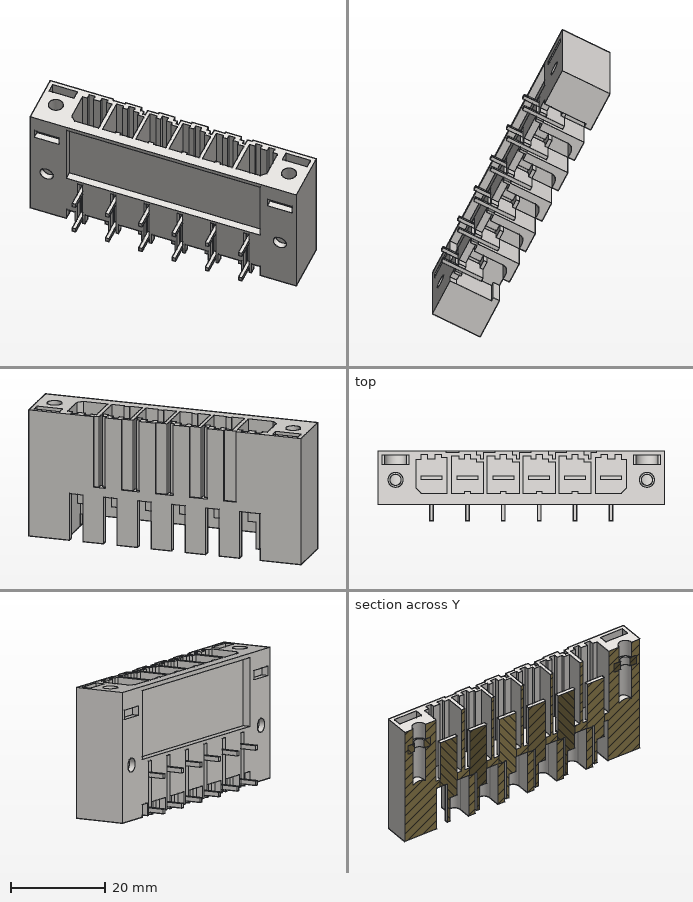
import cadquery as cq


length = 60.95
depth = 11.4
height = 28.3
front_wall = 1.6
back_wall = 1.5

pole_count = 6
pitch = 7.6
pole_x = [(i - (pole_count - 1) / 2) * pitch for i in range(pole_count)]
first_x = pole_x[0]
last_x = pole_x[-1]

pin_thickness = 0.8
blade_width = 4.45
blade_top = 21.95
blade_y = 5.3
leg_length = 3.5
leg_height = 1.0
lower_leg_z = 0.6
upper_leg_z = 8.2
web_top = upper_leg_z + leg_height
tab_bottom = 6.65

chamber_floor = 12.5
chamber_front_y = 2.4
inner_half_width = 3.4
outer_half_width = 3.3
corner_chamfer = 1.1
groove_y = depth - 0.75
land_y = depth - 1.7
inner_groove_half_width = 0.7
inner_left_y = depth - 1.1
inner_right_y = depth - 2.4
inner_right_step_x = 1.95
outer_corner_y = depth - 1.8
outer_inside_y = depth - 1.45
outer_groove_x = (0.85, 2.2)
outer_inside_groove_x = (-2.1, -0.75)
rib_width = 1.2
rib_height = 0.35

channel_depth = 0.35
channel_step_depth = 0.9
channel_start = 1.95
channel_step_x = 2.8
channel_corner_x = 3.4
channel_end_gap = 1.75
channel_overhang = 4.5

recess_side = 8.3
recess_top = 0.9
recess_depth = 1.7

cavity_top = 10.5
cavity_end = 3.1
cavity_left = 0.75
cavity_right = 5.1
window_half_width = 2.3
cavity_fillet = 1.5
slot_width = 1.2
slot_top = 11.7
notch_height = 2.75
notch_gap = 1.15

screw_x = length / 2 - 3.8
pocket_width = 5.65
pocket_height = 2.0
pocket_y = 8.5
nut_bottom = 22.3
nut_recess = 1.45
nut_length = pocket_width
boss_diameter = 4.65
boss_z = 12.0
board_hole_diameter = 3.0
board_hole_depth = 1.4
screw_y = 5.25
screw_diameter = 3.2
nut_hole_diameter = 2.4


def box(x0, x1, y0, y1, z0, z1):
    """Box between two limits on each axis."""
    return cq.Workplane("XY").box(x1 - x0, y1 - y0, z1 - z0, centered=False).translate((x0, y0, z0))


def column(points, z0, z1):
    """Vertical prism over a closed outline of (x, y) points."""
    return cq.Workplane("XY").workplane(offset=z0).polyline(points).close().extrude(z1 - z0)


def upright_cylinder(x, y, diameter, z0, z1):
    """Cylinder along Z."""
    return cq.Workplane("XY").workplane(offset=z0).center(x, y).circle(diameter / 2).extrude(z1 - z0)


def cross_cylinder(x, z, diameter, y0, y1):
    """Cylinder along Y."""
    return cq.Workplane("XZ", origin=(x, y0, z)).circle(diameter / 2).extrude(y0 - y1)


def pin(x):
    """Contact pin: flat blade, hanging tab, upright web and two solder legs."""
    blade_back = blade_y + pin_thickness
    half_blade = blade_width / 2
    half_pin = pin_thickness / 2
    body = box(x - half_blade, x + half_blade, blade_y, blade_back, cavity_top, blade_top)
    body = body.union(box(x - half_pin, x + half_blade, blade_y, blade_back, tab_bottom, cavity_top))
    body = body.union(box(x - half_pin, x + half_pin, front_wall, blade_back, lower_leg_z, web_top))
    for z in (lower_leg_z, upper_leg_z):
        body = body.union(box(x - half_pin, x + half_pin, -leg_length, blade_y, z, z + leg_height))
    return body


def nut(x):
    """Rectangular nut with a vertical hole."""
    body = box(x - pocket_width / 2, x + pocket_width / 2, nut_recess, nut_recess + nut_length,
               nut_bottom, nut_bottom + pocket_height)
    return body.cut(upright_cylinder(x, screw_y, nut_hole_diameter, nut_bottom, nut_bottom + pocket_height))


def inner_chamber(x):
    """Chamber with one coding groove and a small rib on its front wall."""
    outline = [
        (-inner_half_width, chamber_front_y),
        (inner_half_width, chamber_front_y),
        (inner_half_width, inner_right_y),
        (inner_right_step_x, inner_right_y),
        (inner_right_step_x, land_y),
        (inner_groove_half_width, land_y),
        (inner_groove_half_width, groove_y),
        (-inner_groove_half_width, groove_y),
        (-inner_groove_half_width, land_y),
        (-channel_end_gap, land_y),
        (-channel_end_gap, inner_left_y),
        (-inner_half_width, inner_left_y),
    ]
    rib = box(-rib_width / 2, rib_width / 2, chamber_front_y, chamber_front_y + rib_height,
              chamber_floor, height)
    return column(outline, chamber_floor, height).cut(rib).translate((x, 0, 0))


def outer_chamber(x, side):
    """End chamber with two coding grooves and a chamfered outer corner; side is -1 or 1."""
    groove_start, groove_end = outer_groove_x
    inside_start, inside_end = outer_inside_groove_x
    outline = [
        (-outer_half_width, chamber_front_y),
        (outer_half_width - corner_chamfer, chamber_front_y),
        (outer_half_width, chamber_front_y + corner_chamfer),
        (outer_half_width, outer_corner_y),
        (groove_end, outer_corner_y),
        (groove_end, groove_y),
        (groove_start, groove_y),
        (groove_start, land_y),
        (inside_end, land_y),
        (inside_end, groove_y),
        (inside_start, groove_y),
        (inside_start, outer_inside_y),
        (-outer_half_width, outer_inside_y),
    ]
    return column([(x + side * px, py) for px, py in outline], chamber_floor, height)


def back_channel(x, end):
    """Stepped coding channel in the back face, from beside the pole at x to the position end."""
    outline = [
        (x + channel_start, depth),
        (x + channel_start, depth - channel_step_depth),
        (x + channel_step_x, depth - channel_step_depth),
        (x + channel_step_x, land_y),
        (x + channel_corner_x, land_y),
        (x + channel_corner_x, depth - channel_depth),
        (end, depth - channel_depth),
        (end, depth),
    ]
    return column(outline, chamber_floor, height)


def pin_cavity(x):
    """Cavity under a chamber, with its window through the back wall."""
    left = x - (cavity_end if x == first_x else cavity_left)
    right = x + (cavity_end if x == last_x else cavity_right)
    window_left = x - (window_half_width if x == first_x else cavity_left)
    cavity = box(left, right, front_wall, depth - back_wall, 0, cavity_top)
    if x != last_x:
        cavity = cavity.edges("|Z and >X and >Y").fillet(cavity_fillet)
    return cavity.union(box(window_left, x + window_half_width, front_wall, depth, 0, cavity_top))


def front_notches():
    """Notches along the bottom of the front wall, interrupted beside each pin slot."""
    half_run = length / 2 - recess_side
    notches = box(-half_run, half_run, 0, front_wall, 0, notch_height)
    for x in pole_x:
        notches = notches.cut(box(x - notch_gap, x + notch_gap, 0, front_wall, 0, notch_height))
    return notches


def screw_end(x):
    """Everything removed at one end: pockets, screw hole and board hole, leaving the round boss."""
    half_pocket = pocket_width / 2
    removed = box(x - half_pocket, x + half_pocket, pocket_y, pocket_y + pocket_height, boss_z, height)
    removed = removed.union(upright_cylinder(x, screw_y, screw_diameter, boss_z, height))
    removed = removed.cut(cross_cylinder(x, boss_z, boss_diameter, 0, depth))
    removed = removed.union(box(x - half_pocket, x + half_pocket, 0, nut_recess + nut_length,
                                nut_bottom, nut_bottom + pocket_height))
    return removed.union(cross_cylinder(x, boss_z, board_hole_diameter, 0, board_hole_depth))


def housing(pins):
    """Housing block with chambers, cavities, slots and screw ends, fitted around the pins."""
    half = length / 2
    body = box(-half, half, 0, depth, 0, height)
    body = body.cut(box(recess_side - half, half - recess_side, 0, recess_depth,
                        chamber_floor, height - recess_top))
    body = body.cut(outer_chamber(first_x, -1)).cut(outer_chamber(last_x, 1))
    for x in pole_x[1:-1]:
        body = body.cut(inner_chamber(x))
        end = x + (channel_overhang if x == pole_x[-2] else pitch - channel_end_gap)
        body = body.cut(back_channel(x, end))
    body = body.cut(box(pole_x[1] - channel_overhang, pole_x[1] - channel_end_gap,
                        depth - channel_depth, depth, chamber_floor, height))
    for x in pole_x:
        body = body.cut(pin_cavity(x))
        body = body.cut(box(x - slot_width / 2, x + slot_width / 2, 0, blade_y, 0, slot_top))
    body = body.cut(front_notches())
    for x in (-screw_x, screw_x):
        body = body.cut(screw_end(x))
    for contact in pins:
        body = body.cut(contact)
    return body


contact_pins = [pin(x) for x in pole_x]
screw_nuts = [nut(x) for x in (-screw_x, screw_x)]
connector_housing = housing(contact_pins)

result = cq.Compound.makeCompound([
    *connector_housing.solids().vals(),
    *[contact.solids().val() for contact in contact_pins],
    *[screw_nut.solids().val() for screw_nut in screw_nuts],
])